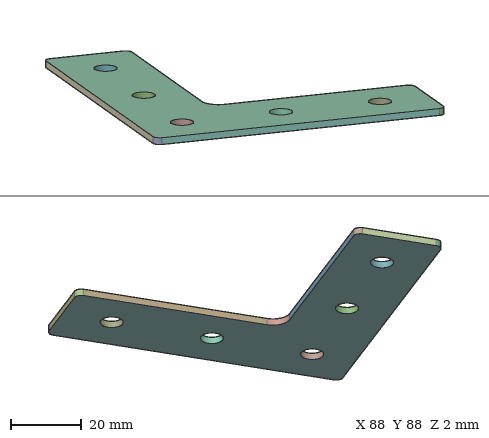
import cadquery as cq

side_length = 88.0
arm_width = 26.05
thickness = 2.0
outer_radius = 2.0
inner_radius = 5.0
hole_diameter = 6.5
hole_pitch = 30.0
holes_per_arm = 3

half_side = side_length / 2
inner_x = half_side - arm_width
inner_y = -half_side + arm_width
corner_hole_x = half_side - arm_width / 2
corner_hole_y = -half_side + arm_width / 2


def make_plate():
    outline = [
        (-half_side, -half_side),
        (half_side, -half_side),
        (half_side, half_side),
        (inner_x, half_side),
        (inner_x, inner_y),
        (-half_side, inner_y),
    ]
    plate = cq.Workplane("XY").polyline(outline).close().extrude(thickness)
    inner_corner = cq.selectors.NearestToPointSelector((inner_x, inner_y, thickness / 2))
    plate = plate.edges("|Z").edges(inner_corner).fillet(inner_radius)

    return plate.edges("|Z and (<X or >X or >Y)").fillet(outer_radius)


def hole_centres():
    along_x = [(corner_hole_x - i * hole_pitch, corner_hole_y) for i in range(holes_per_arm)]
    along_y = [(corner_hole_x, corner_hole_y + i * hole_pitch) for i in range(1, holes_per_arm)]
    return along_x + along_y


def make_hole_cutters():
    return cq.Workplane("XY").pushPoints(hole_centres()).circle(hole_diameter / 2).extrude(thickness)


result = make_plate().cut(make_hole_cutters())